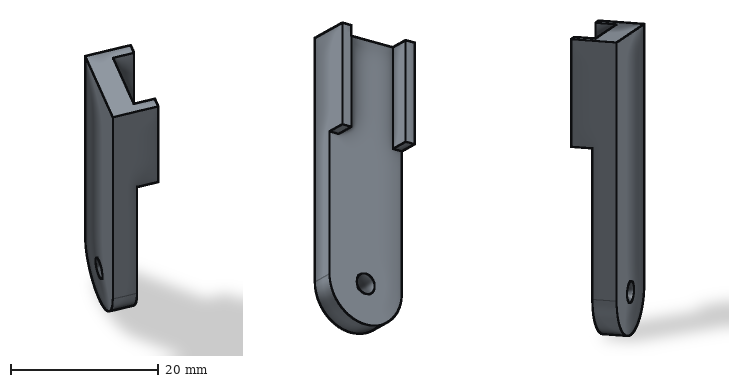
import cadquery as cq

length = 42.0
width = 12.0
plate_thickness = 3.5
overall_depth = 6.5
wall_thickness = 1.5
wall_height = 15.0
hole_diameter = 3.0

end_radius = width / 2
wall_depth = overall_depth - plate_thickness


def make_plate():
    """Flat bar with a square top and a round lower end centred on the origin."""
    return (
        cq.Workplane("XZ")
        .moveTo(-end_radius, 0)
        .threePointArc((0, -end_radius), (end_radius, 0))
        .lineTo(end_radius, length - end_radius)
        .lineTo(-end_radius, length - end_radius)
        .close()
        .extrude(-plate_thickness)
    )


def make_side_wall(left_x):
    """Wall rising from the back of the plate along one upper edge."""
    bottom_z = length - end_radius - wall_height
    return (
        cq.Workplane("XY")
        .box(wall_thickness, wall_depth, wall_height, centered=False)
        .translate((left_x, plate_thickness, bottom_z))
    )


def make_pivot_hole():
    """Through hole concentric with the round end."""
    return cq.Workplane("XZ").circle(hole_diameter / 2).extrude(-plate_thickness)


result = make_plate()
for wall_x in (-end_radius, end_radius - wall_thickness):
    result = result.union(make_side_wall(wall_x))
result = result.cut(make_pivot_hole())